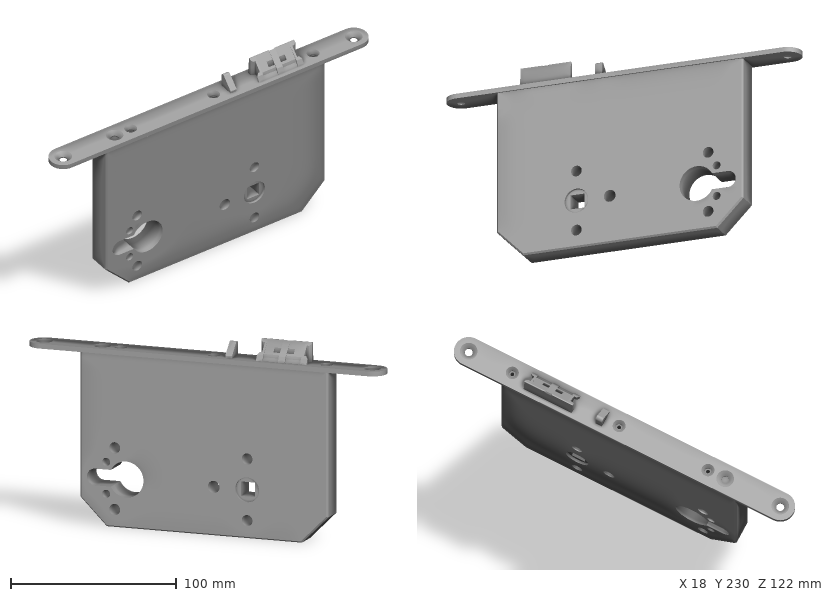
import cadquery as cq
import math

PLATE_LENGTH = 230.0
PLATE_WIDTH = 18.0
PLATE_THICKNESS = 3.0
END_HOLE_Y = 106.0
CYLINDER_SCREW_Y = -68.5
LARGE_HOLE_DIAMETER = 4.8
LARGE_SINK_DIAMETER = 10.5
CASE_SCREW_YS = (76.4, 3.7, -56.8)
SMALL_HOLE_DIAMETER = 4.1
SMALL_SINK_DIAMETER = 7.8
SINK_DEPTH = 2.3

CASE_WIDTH = 160.0
CASE_THICKNESS = 16.0
CASE_BOTTOM_Z = -110.0
CORNER_CUT = 17.0
EDGE_BEVEL_ALONG_X = 1.2
EDGE_BEVEL_INWARD = 1.0
SCREW_HOLE_DIAMETER = 2.3
SCREW_HOLE_DEPTH = 7.0

SPINDLE_Z = -79.8
FIXING_HOLE_DIAMETER = 7.0
FIXING_HOLE_OFFSET = 19.0
FOLLOWER_Y = 28.0
KEYHOLE_FIXING_Y = -57.5
STOP_HOLE_DIAMETER = 7.5
STOP_HOLE_Y = 6.5
SMALL_PIN_DIAMETER = 5.0
SMALL_PIN_Y = -63.0
SMALL_PIN_OFFSET = 10.0

KEYHOLE_Y = -50.1
KEYHOLE_DIAMETER = 22.3
KEYHOLE_SLOT_WIDTH = 10.4
KEYHOLE_SLOT_END_Y = -75.5

FOLLOWER_DIAMETER = 15.5
FOLLOWER_SQUARE = 9.0
FOLLOWER_RECESS = 1.5

LATCH_Y = 49.2
LATCH_LENGTH = 32.7
LATCH_HALF_WIDTH = 6.0
LATCH_TIP_X = -4.8
LATCH_TIP_FLAT = 0.7
LATCH_SLOPE_START_X = LATCH_TIP_X + LATCH_TIP_FLAT
LATCH_TIP_Z = 12.0
LATCH_BREAK_X = 4.1
LATCH_BREAK_Z = 3.5
NOTCH_DEPTH = 2.8
NOTCH_CORNER_DEPTH = 1.4
NOTCH_INNER_LEFT = -2.3
NOTCH_INNER_RIGHT = 2.8
NOTCH_OUTER_LEFT = -3.2
NOTCH_OUTER_RIGHT = 4.1
LAND_LENGTH = 1.4
RIB_WIDTH = 4.4
POCKET_DROP = 0.7
LEDGE_WALL_X = 3.0
LEDGE_WALL_BOTTOM_X = 3.7
LEDGE_WALL_BOTTOM_Z = 2.0
LEDGE_RIGHT_X = 5.5
GROOVE_LENGTH = 4.4
GROOVE_LEFT_X = -0.5
GROOVE_BOTTOM_X = 0.7
GROOVE_BOTTOM_Z = 1.4
GROOVE_RIGHT_X = 2.0
TIP_BEVEL = 1.0

AUX_Y = 15.0
AUX_LENGTH = 4.4
AUX_HALF_WIDTH = 5.0
AUX_CORNER_Z = 7.1
AUX_CREST_X = -3.5
AUX_CREST_Z = 9.0
AUX_SLOPE_START_X = -1.8
AUX_SLOPE_START_Z = 8.3
AUX_NOSE_Z = 1.4


def block(length_x, length_y, height, x, y, bottom_z):
    """Box centred on (x, y) that stands on bottom_z."""
    box = cq.Workplane("XY").box(length_x, length_y, height, centered=(True, True, False))
    return box.translate((x, y, bottom_z))


def prism_along_y(points, y_center, length):
    """XZ outline extruded symmetrically about y_center."""
    prism = cq.Workplane("XZ").polyline(points).close().extrude(length / 2, both=True)
    return prism.translate((0, y_center, 0))


def cross_hole(diameter, y, z):
    """Cylinder along X through the whole case."""
    return cq.Workplane("YZ").center(y, z).circle(diameter / 2).extrude(CASE_THICKNESS, both=True)


def make_plate(bolts):
    plate = (
        cq.Workplane("XY")
        .slot2D(PLATE_LENGTH, PLATE_WIDTH, angle=90)
        .extrude(-PLATE_THICKNESS)
    )
    hole_sets = (
        ((END_HOLE_Y, CYLINDER_SCREW_Y, -END_HOLE_Y), LARGE_HOLE_DIAMETER, LARGE_SINK_DIAMETER),
        (CASE_SCREW_YS, SMALL_HOLE_DIAMETER, SMALL_SINK_DIAMETER),
    )
    for hole_ys, hole_diameter, sink_diameter in hole_sets:
        sink_angle = 2 * math.degrees(math.atan((sink_diameter - hole_diameter) / 2 / SINK_DEPTH))
        plate = (
            plate.faces(">Z")
            .workplane(origin=(0, 0, 0))
            .pushPoints([(0, y) for y in hole_ys])
            .cskHole(hole_diameter, sink_diameter, sink_angle)
        )
    for bolt in bolts:
        plate = plate.cut(bolt)
    return plate


def case_outline():
    """YZ outline, one bevel taller than the case so that the top edge can be trimmed square."""
    half = CASE_WIDTH / 2
    top = -PLATE_THICKNESS + EDGE_BEVEL_INWARD
    return [
        (-half, top),
        (-half, CASE_BOTTOM_Z + CORNER_CUT),
        (-half + CORNER_CUT, CASE_BOTTOM_Z),
        (half - CORNER_CUT, CASE_BOTTOM_Z),
        (half, CASE_BOTTOM_Z + CORNER_CUT),
        (half, top),
    ]


def make_case_blank():
    outline = case_outline()
    core_half = CASE_THICKNESS / 2 - EDGE_BEVEL_ALONG_X
    taper = math.degrees(math.atan(EDGE_BEVEL_INWARD / EDGE_BEVEL_ALONG_X))
    blank = cq.Workplane("YZ").polyline(outline).close().extrude(core_half, both=True)
    for side in (1, -1):
        bevelled_side = (
            cq.Workplane("YZ", origin=(side * core_half, 0, 0))
            .polyline(outline)
            .close()
            .extrude(side * EDGE_BEVEL_ALONG_X, taper=taper)
        )
        blank = blank.union(bevelled_side)
    trim = block(PLATE_WIDTH, PLATE_LENGTH, PLATE_THICKNESS, 0, 0, -PLATE_THICKNESS)
    return blank.cut(trim)


def make_keyhole():
    slot_radius = KEYHOLE_SLOT_WIDTH / 2
    slot_center_y = KEYHOLE_SLOT_END_Y + slot_radius
    slot = (
        cq.Workplane("YZ")
        .center((KEYHOLE_Y + slot_center_y) / 2, SPINDLE_Z)
        .rect(KEYHOLE_Y - slot_center_y, KEYHOLE_SLOT_WIDTH)
        .extrude(CASE_THICKNESS, both=True)
    )
    slot_end = cross_hole(KEYHOLE_SLOT_WIDTH, slot_center_y, SPINDLE_Z)
    return cross_hole(KEYHOLE_DIAMETER, KEYHOLE_Y, SPINDLE_Z).union(slot).union(slot_end)


def make_case():
    case = make_case_blank()
    case = case.cut(make_keyhole())
    case = case.cut(cross_hole(FOLLOWER_DIAMETER, FOLLOWER_Y, SPINDLE_Z))
    case = case.cut(cross_hole(STOP_HOLE_DIAMETER, STOP_HOLE_Y, SPINDLE_Z))
    for side in (1, -1):
        fixing_z = SPINDLE_Z + side * FIXING_HOLE_OFFSET
        for y in (FOLLOWER_Y, KEYHOLE_FIXING_Y):
            case = case.cut(cross_hole(FIXING_HOLE_DIAMETER, y, fixing_z))
        pin_z = SPINDLE_Z + side * SMALL_PIN_OFFSET
        case = case.cut(cross_hole(SMALL_PIN_DIAMETER, SMALL_PIN_Y, pin_z))
    screw_holes = (
        cq.Workplane("XY", origin=(0, 0, -PLATE_THICKNESS))
        .pushPoints([(0, y) for y in CASE_SCREW_YS])
        .circle(SCREW_HOLE_DIAMETER / 2)
        .extrude(-SCREW_HOLE_DEPTH)
    )
    return case.cut(screw_holes)


def make_follower():
    return (
        cq.Workplane("YZ")
        .center(FOLLOWER_Y, SPINDLE_Z)
        .circle(FOLLOWER_DIAMETER / 2)
        .rect(FOLLOWER_SQUARE, FOLLOWER_SQUARE)
        .extrude(CASE_THICKNESS / 2 - FOLLOWER_RECESS, both=True)
    )


def latch_slope_z(x):
    """Height of the striking slope above the faceplate, between tip and break."""
    fall = (LATCH_TIP_Z - LATCH_BREAK_Z) / (LATCH_BREAK_X - LATCH_SLOPE_START_X)
    return LATCH_TIP_Z - fall * (x - LATCH_SLOPE_START_X)


def make_latch_blank():
    outline = [
        (-LATCH_HALF_WIDTH, -PLATE_THICKNESS),
        (-LATCH_HALF_WIDTH, 0),
        (LATCH_TIP_X, LATCH_TIP_Z),
        (LATCH_SLOPE_START_X, LATCH_TIP_Z),
        (LATCH_BREAK_X, LATCH_BREAK_Z),
        (LATCH_HALF_WIDTH, 0),
        (LATCH_HALF_WIDTH, -PLATE_THICKNESS),
    ]
    return prism_along_y(outline, LATCH_Y, LATCH_LENGTH)


def latch_end_notch(side):
    """Full-height notch in one end of the latch, wider at its mouth."""
    end_y = LATCH_Y + side * LATCH_LENGTH / 2
    corner_y = end_y - side * NOTCH_CORNER_DEPTH
    inner_y = end_y - side * NOTCH_DEPTH
    plan = [
        (NOTCH_OUTER_LEFT, end_y),
        (NOTCH_INNER_LEFT, corner_y),
        (NOTCH_INNER_LEFT, inner_y),
        (NOTCH_INNER_RIGHT, inner_y),
        (NOTCH_INNER_RIGHT, corner_y),
        (NOTCH_OUTER_RIGHT, end_y),
    ]
    height = LATCH_TIP_Z + PLATE_THICKNESS
    return cq.Workplane("XY", origin=(0, 0, -PLATE_THICKNESS)).polyline(plan).close().extrude(height)


def latch_pocket(side):
    """Wedge cut from the slope and a ledge at its foot, between the end land and the centre rib."""
    outline = [
        (LATCH_SLOPE_START_X, LATCH_TIP_Z),
        (LEDGE_WALL_X, latch_slope_z(LEDGE_WALL_X) - POCKET_DROP),
        (LEDGE_WALL_BOTTOM_X, LEDGE_WALL_BOTTOM_Z),
        (LEDGE_RIGHT_X, 0),
        (LATCH_HALF_WIDTH, 0),
        (LATCH_HALF_WIDTH, LATCH_TIP_Z),
    ]
    outer = LATCH_LENGTH / 2 - NOTCH_DEPTH - LAND_LENGTH
    inner = RIB_WIDTH / 2
    return prism_along_y(outline, LATCH_Y + side * (outer + inner) / 2, outer - inner)


def latch_groove(side):
    """V groove in the slope next to the centre rib."""
    outline = [
        (GROOVE_LEFT_X, latch_slope_z(GROOVE_LEFT_X)),
        (GROOVE_BOTTOM_X, GROOVE_BOTTOM_Z),
        (GROOVE_RIGHT_X, latch_slope_z(GROOVE_RIGHT_X)),
        (GROOVE_RIGHT_X, latch_slope_z(GROOVE_LEFT_X)),
    ]
    return prism_along_y(outline, LATCH_Y + side * (RIB_WIDTH + GROOVE_LENGTH) / 2, GROOVE_LENGTH)


def latch_tip_bevel():
    """Bevel on the back of the tip, over the width of the rib."""
    lean = (LATCH_TIP_X + LATCH_HALF_WIDTH) / LATCH_TIP_Z
    bevel_z = LATCH_TIP_Z - TIP_BEVEL
    outline = [
        (LATCH_TIP_X - lean * TIP_BEVEL, bevel_z),
        (LATCH_SLOPE_START_X, LATCH_TIP_Z),
        (-LATCH_HALF_WIDTH, LATCH_TIP_Z),
        (-LATCH_HALF_WIDTH, bevel_z),
    ]
    return prism_along_y(outline, LATCH_Y, RIB_WIDTH)


def make_latch():
    latch = make_latch_blank().cut(latch_tip_bevel())
    for side in (1, -1):
        latch = latch.cut(latch_end_notch(side))
        latch = latch.cut(latch_pocket(side))
        latch = latch.cut(latch_groove(side))
    return latch


def make_auxiliary_bolt():
    bolt = (
        cq.Workplane("XZ")
        .moveTo(-AUX_HALF_WIDTH, -PLATE_THICKNESS)
        .lineTo(-AUX_HALF_WIDTH, AUX_CORNER_Z)
        .threePointArc((AUX_CREST_X, AUX_CREST_Z), (AUX_SLOPE_START_X, AUX_SLOPE_START_Z))
        .lineTo(AUX_HALF_WIDTH, AUX_NOSE_Z)
        .lineTo(AUX_HALF_WIDTH, -PLATE_THICKNESS)
        .close()
        .extrude(AUX_LENGTH / 2, both=True)
    )
    return bolt.translate((0, AUX_Y, 0))


latch_bolt = make_latch()
auxiliary_bolt = make_auxiliary_bolt()
faceplate = make_plate((latch_bolt, auxiliary_bolt))
lock_case = make_case()
follower = make_follower()

result = cq.Compound.makeCompound(
    [faceplate.val(), lock_case.val(), follower.val(), latch_bolt.val(), auxiliary_bolt.val()]
)